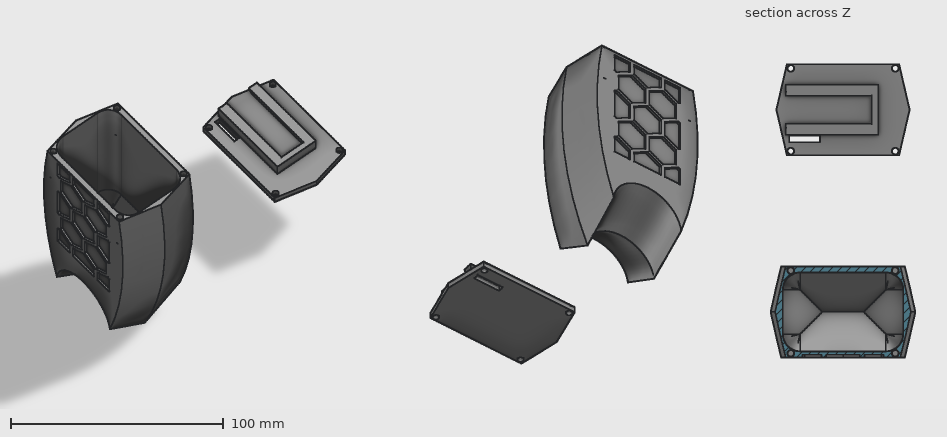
import cadquery as cq
import math

depth = 42.9
half_depth = depth / 2
shell_height = 110.0
half_width = 34.15
widest_z = 76.5
side_radius = 203.5
face_inset = 5.0

arch_height = 17.5
arch_rise = 14.5

screw_diameter = 3.0
screw_x = 24.5
screw_y = 19.5
screw_depth = 20.0

cavity_width = 56.5
cavity_depth = 37.0
cavity_corner = 8.0
cavity_floor_z = 44.8
floor_drop = 21.8

panel_width = 38.1
panel_bottom_z = 44.7
panel_top_z = 107.9
panel_middle_z = (panel_bottom_z + panel_top_z) / 2
hexagon_diameter = 18.1
hexagon_pitch = 18.0
row_pitch = 15.0
recess_depth = 1.2

overall_length = 138.0
lid_y = overall_length - depth
lid_bottom_z = 39.9
lid_thickness = 3.3
lid_top_z = lid_bottom_z + lid_thickness

rail_height = 6.0
rail_left_x = -26.9
rail_right_x = 16.5
rail_width = 23.5
channel_end_x = 13.5
channel_top_width = 13.4
channel_bottom_width = 16.8

slot_left_x = -25.3
slot_length = 14.4
slot_width = 2.9
slot_y = -13.8


def side_x(z, inset):
    """Half width at height z of a side that leans in by inset."""
    drop = side_radius - math.sqrt(side_radius**2 - (z - widest_z) ** 2)
    return half_width - inset - drop


def shell_outline(y, inset, rise):
    """Closed outline of the shell in the XZ plane at the given y."""
    top_x = side_x(shell_height, inset)
    bulge_x = side_x(widest_z, inset)
    tip_x = side_x(rise, inset)
    return (
        cq.Workplane("XZ", origin=(0, y, 0))
        .moveTo(-top_x, shell_height)
        .lineTo(top_x, shell_height)
        .threePointArc((bulge_x, widest_z), (tip_x, rise))
        .threePointArc((0, rise + arch_height), (-tip_x, rise))
        .threePointArc((-bulge_x, widest_z), (-top_x, shell_height))
        .close()
        .wires()
        .val()
    )


def shell_blank():
    """Solid shell: a ruled front half and its mirror image behind the middle plane."""
    face = shell_outline(-half_depth, face_inset, arch_rise)
    middle = shell_outline(0, 0, 0)
    front_half = cq.Workplane(cq.Solid.makeLoft([face, middle], True))
    return front_half.union(front_half.mirror("XZ"))


def hipped_floor():
    """Inverted hip roof below the cavity walls, with a cone in each corner."""
    half_x = cavity_width / 2
    half_y = cavity_depth / 2
    straight_x = cavity_width - 2 * cavity_corner
    straight_y = cavity_depth - 2 * cavity_corner
    ridge_half = half_x - half_y
    cone_height = floor_drop * cavity_corner / half_y

    across_y = (
        cq.Workplane("YZ", origin=(0, 0, cavity_floor_z))
        .polyline([(-half_y, 0), (half_y, 0), (0, -floor_drop)])
        .close()
        .extrude(half_x, both=True)
    )
    across_x = (
        cq.Workplane("XZ", origin=(0, 0, cavity_floor_z))
        .polyline([(-half_x, 0), (half_x, 0), (ridge_half, -floor_drop), (-ridge_half, -floor_drop)])
        .close()
        .extrude(half_y, both=True)
    )
    floor_plane = cq.Workplane("XY", origin=(0, 0, cavity_floor_z))
    long_block = floor_plane.rect(cavity_width, straight_y).extrude(-floor_drop)
    wide_block = floor_plane.rect(straight_x, cavity_depth).extrude(-floor_drop)
    floor = across_y.intersect(across_x).intersect(long_block.union(wide_block))

    cone = cq.Solid.makeCone(cavity_corner, 0, cone_height, dir=cq.Vector(0, 0, -1))
    corners = floor_plane.rect(straight_x, straight_y, forConstruction=True).vertices()
    cones = corners.eachpoint(lambda place: cone.moved(place))
    return floor.union(cones)


def cavity():
    """Rounded rectangular pocket standing on its sloping floor."""
    walls = (
        cq.Workplane("XY", origin=(0, 0, cavity_floor_z))
        .rect(cavity_width, cavity_depth)
        .extrude(shell_height - cavity_floor_z)
        .edges("|Z")
        .fillet(cavity_corner)
    )
    return walls.union(hipped_floor())


def screw_holes(top_z, hole_depth):
    """Four corner holes, centred on the Z axis and going down from top_z."""
    return (
        cq.Workplane("XY", origin=(0, 0, top_z))
        .rect(2 * screw_x, 2 * screw_y, forConstruction=True)
        .vertices()
        .circle(screw_diameter / 2)
        .extrude(-hole_depth)
    )


def hexagon_centres():
    """Centres of the honeycomb, with every second row shifted by half a pitch."""
    centres = []
    for row in range(-2, 3):
        if row % 2 == 0:
            columns = (-1, 0, 1)
        else:
            columns = (-0.5, 0.5)
        for column in columns:
            centres.append((column * hexagon_pitch, row * row_pitch))
    return centres


def honeycomb():
    """Hexagonal recesses with a corner pointing up, trimmed to the panel."""
    face = cq.Workplane("XZ", origin=(0, -half_depth, panel_middle_z))
    hexagon = cq.Sketch().regularPolygon(hexagon_diameter / 2, 6)
    hexagons = face.pushPoints(hexagon_centres()).placeSketch(hexagon).extrude(-recess_depth)
    panel = face.rect(panel_width, panel_top_z - panel_bottom_z).extrude(-recess_depth)
    return hexagons.intersect(panel)


def build_shell():
    """Hollow shell with an open top."""
    return (
        shell_blank()
        .cut(cavity())
        .cut(screw_holes(shell_height, screw_depth))
        .cut(honeycomb())
    )


def lid_plate():
    """Flat plate with the same outline as the top of the shell, centred on the Z axis."""
    point_x = side_x(shell_height, 0)
    corner_x = side_x(shell_height, face_inset)
    return (
        cq.Workplane("XY", origin=(0, 0, lid_bottom_z))
        .polyline([
            (-point_x, 0),
            (-corner_x, -half_depth),
            (corner_x, -half_depth),
            (point_x, 0),
            (corner_x, half_depth),
            (-corner_x, half_depth),
        ])
        .close()
        .extrude(lid_thickness)
    )


def lid_rail():
    """U-shaped rail whose channel widens toward the plate."""
    block = cq.Workplane("XY", origin=(0, 0, lid_top_z)).box(
        rail_right_x - rail_left_x, rail_width, rail_height, centered=(False, True, False)
    ).translate((rail_left_x, 0, 0))
    channel = (
        cq.Workplane("YZ", origin=(rail_left_x, 0, lid_top_z))
        .polyline([
            (-channel_bottom_width / 2, 0),
            (channel_bottom_width / 2, 0),
            (channel_top_width / 2, rail_height),
            (-channel_top_width / 2, rail_height),
        ])
        .close()
        .extrude(channel_end_x - rail_left_x)
    )
    return block.cut(channel)


def lid_slot():
    """Rectangular slot through the plate."""
    return (
        cq.Workplane("XY", origin=(slot_left_x + slot_length / 2, slot_y, lid_bottom_z))
        .rect(slot_length, slot_width)
        .extrude(lid_thickness)
    )


def build_lid():
    """Plate, rail, slot and screw holes, moved to the lid's place behind the shell."""
    plate = lid_plate().cut(lid_slot()).cut(screw_holes(lid_top_z, lid_thickness))
    return plate.union(lid_rail()).translate((0, lid_y, 0))


shell = build_shell()
lid = build_lid()
result = cq.Compound.makeCompound([shell.val(), lid.val()])